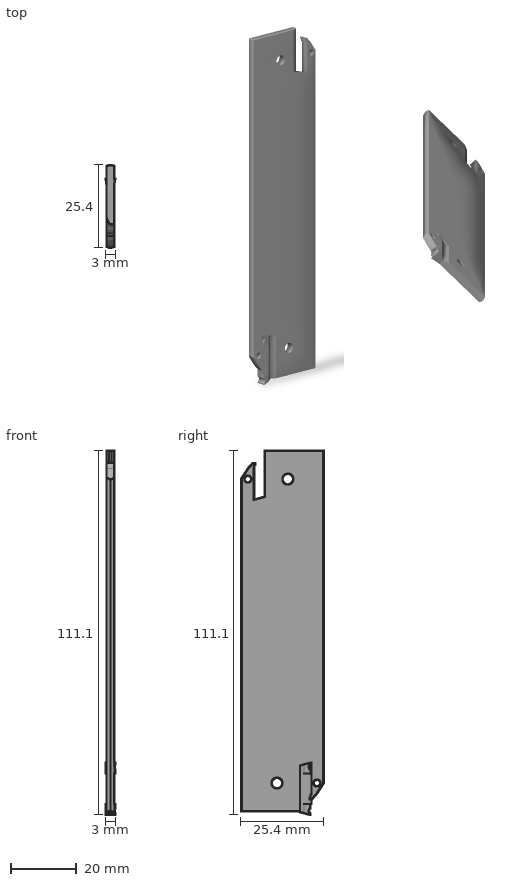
import cadquery as cq
import math


blade_length = 110.0
blade_width = 25.36
blade_thickness = 2.4
half_width = blade_width / 2
half_thickness = blade_thickness / 2
end_z = -blade_length / 2
edge_slope = math.tan(math.radians(15))
bevel_depth = half_thickness * edge_slope

hole_height = 8.65
hole_z = end_z + hole_height
coolant_hole_y = -1.65
coolant_hole_diameter = 3.2
key_hole_y = 10.55
key_hole_diameter = 2.0

relief_start_y = 3.52
ridge_shoulder = (-0.4, 5.2)
ridge_tip = (0.3, 5.53)
ridge_back_y = ridge_tip[1] - (half_thickness - ridge_tip[0]) * edge_slope
lip_wall_y = 8.89
lip_ridge_y = 8.55
pocket_depth = 14.95
floor_slope = math.tan(math.radians(15))

lip_end_z = end_z + 3.7
lip_end_y = 9.0
lip_corner = (10.5, end_z + 5.4)
lip_edge_z = end_z + 8.75
nose_length = 1.4
hook_length = 0.6
hook_y = 8.2

insert_width = 3.0
rake_y = lip_ridge_y
overhang = 1.09
flank_y = 6.54
cutting_edge_z = end_z - overhang
lower_head_top = end_z + 2.2
upper_head_bottom = end_z + 11.5
chip_groove_land = 0.5
chip_groove_width = 1.6
chip_groove_depth = 0.45

clearance = 2.0


def pocket_floor_z(y):
    return end_z + pocket_depth - (lip_wall_y - y) * floor_slope


def cutting_end_z(y):
    return cutting_edge_z + (rake_y - y) * floor_slope


def side_prism(points, width):
    """Prism across the thickness from a (Y, Z) outline."""
    return cq.Workplane("YZ").polyline(points).close().extrude(width / 2, both=True)


def length_prism(points, bottom, top):
    """Prism along Z from an (X, Y) section."""
    return cq.Workplane("XY", origin=(0, 0, bottom)).polyline(points).close().extrude(top - bottom)


def at_other_end(tool):
    """Turn a tool for the lower end half a turn about X, to the upper end."""
    return tool.rotate((0, 0, 0), (1, 0, 0), 180)


def make_blade_blank():
    face_y = half_width - bevel_depth
    section = [
        (-half_thickness, -face_y),
        (0, -half_width),
        (half_thickness, -face_y),
        (half_thickness, face_y),
        (0, half_width),
        (-half_thickness, face_y),
    ]
    return length_prism(section, end_z, -end_z)


def make_lip_nose():
    nose_top = lip_end_z + nose_length
    hook_top = lip_end_z + hook_length
    outline = [
        (hook_y, lip_end_z),
        (lip_end_y, lip_end_z),
        (lip_end_y, nose_top),
        (lip_ridge_y, nose_top),
        (lip_ridge_y, hook_top),
        (hook_y, hook_top),
    ]
    return side_prism(outline, blade_thickness)


def make_pocket():
    reach = half_thickness + clearance
    section = [
        (-reach, relief_start_y),
        (-half_thickness, relief_start_y),
        ridge_shoulder,
        ridge_tip,
        (half_thickness, ridge_back_y),
        (reach, ridge_back_y),
        (reach, lip_wall_y),
        (half_thickness, lip_wall_y),
        (0, lip_ridge_y),
        (-half_thickness, lip_wall_y),
        (-reach, lip_wall_y),
    ]
    below = end_z - clearance
    channel = length_prism(section, below, end_z + pocket_depth)
    depth_limit = side_prism(
        [
            (relief_start_y, below),
            (lip_wall_y, below),
            (lip_wall_y, pocket_floor_z(lip_wall_y)),
            (relief_start_y, pocket_floor_z(relief_start_y)),
        ],
        2 * reach,
    )
    return channel.intersect(depth_limit).cut(make_lip_nose())


def make_lip_trim():
    """Corner removed outside the lip."""
    below = end_z - clearance
    outside = half_width + clearance
    outline = [
        (hook_y, below),
        (hook_y, lip_end_z),
        (lip_end_y, lip_end_z),
        lip_corner,
        (half_width, lip_edge_z),
        (outside, lip_edge_z),
        (outside, below),
    ]
    return side_prism(outline, blade_thickness + clearance)


def make_hole(y, diameter):
    return (
        cq.Workplane("YZ")
        .center(y, hole_z)
        .circle(diameter / 2)
        .extrude(blade_thickness, both=True)
    )


def make_blade():
    blade = make_blade_blank()
    tools = [
        make_pocket(),
        make_lip_trim(),
        make_hole(coolant_hole_y, coolant_hole_diameter),
        make_hole(key_hole_y, key_hole_diameter),
    ]
    for tool in tools:
        blade = blade.cut(tool).cut(at_other_end(tool))
    return blade


def make_insert_body():
    """Bar that fills the pocket between the blade ridge and the lip ridge."""
    section = [
        ridge_shoulder,
        ridge_tip,
        (half_thickness, ridge_back_y),
        (half_thickness, lip_wall_y),
        (0, lip_ridge_y),
        (-half_thickness, lip_wall_y),
        (-half_thickness, flank_y),
    ]
    return length_prism(section, end_z - clearance, end_z + pocket_depth)


def make_head(bottom, top):
    """Wide cutting head, tapering from the rake level to the body sides."""
    section = [
        (-half_thickness, flank_y),
        (half_thickness, flank_y),
        (insert_width / 2, rake_y),
        (-insert_width / 2, rake_y),
    ]
    return length_prism(section, bottom, top)


def make_rake_cut(bottom, top):
    """Lowers the top of a head to the rake level."""
    outline = [
        (rake_y, bottom),
        (lip_wall_y + clearance, bottom),
        (lip_wall_y + clearance, top),
        (rake_y, top),
    ]
    return side_prism(outline, insert_width)


def make_chip_groove(edge_z, inward):
    """Arc-shaped groove behind a cutting edge; inward is the Z direction into the insert."""
    start = edge_z + inward * chip_groove_land
    middle = start + inward * chip_groove_width / 2
    finish = start + inward * chip_groove_width
    return (
        cq.Workplane("YZ")
        .moveTo(rake_y, start)
        .threePointArc((rake_y - chip_groove_depth, middle), (rake_y, finish))
        .close()
        .extrude(insert_width, both=True)
    )


def make_end_limit():
    """Side outline whose two sloping ends trim the insert to length."""
    low_y = ridge_shoulder[1]
    outline = [
        (low_y, cutting_end_z(low_y)),
        (lip_wall_y, cutting_end_z(lip_wall_y)),
        (lip_wall_y, pocket_floor_z(lip_wall_y)),
        (low_y, pocket_floor_z(low_y)),
    ]
    return side_prism(outline, insert_width)


def make_insert():
    insert = make_insert_body()
    heads = [
        (end_z - clearance, lower_head_top),
        (upper_head_bottom, end_z + pocket_depth),
    ]
    for bottom, top in heads:
        insert = insert.union(make_head(bottom, top)).cut(make_rake_cut(bottom, top))
    insert = insert.intersect(make_end_limit()).cut(make_lip_nose())
    insert = insert.cut(make_chip_groove(cutting_edge_z, 1))
    return insert.cut(make_chip_groove(pocket_floor_z(rake_y), -1))


blade = make_blade()
insert = make_insert()

result = cq.Compound.makeCompound([blade.val(), insert.val()])